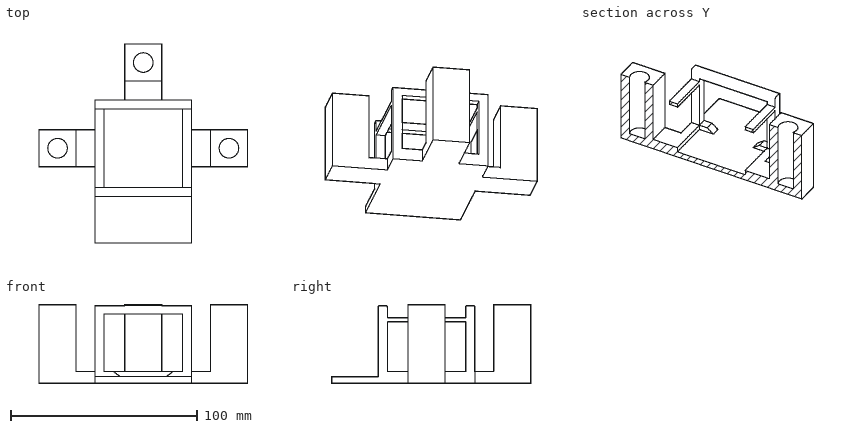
import cadquery as cq

overall_width = 112.0
overall_depth = 107.0
overall_height = 42.3

post_side = 20.0
post_gap = 10.0
hole_diameter = 10.5
hole_floor = 5.0
bar = 5.0
frame_side = overall_width - 2 * (post_side + post_gap)
frame_inner = frame_side - 2 * bar

floor_top = 3.7
rim_top = 6.5
rail_bottom = 33.0
rail_top = 35.4
window_top = 37.2
frame_top = 41.8
frame_round = 0.9

gap_bottom_width = 24.6
gap_top_width = 32.3

half_frame = frame_side / 2
apron_front = half_frame + post_gap + post_side - overall_depth
arm_length = post_gap + post_side
bar_offset = half_frame - bar / 2


def block(x_size, y_size, bottom, top, x=0, y=0):
    """Box centred at (x, y), spanning the given heights."""
    return (
        cq.Workplane("XY", origin=(x, y, bottom))
        .box(x_size, y_size, top - bottom, centered=(True, True, False))
    )


def make_floor():
    depth = half_frame - apron_front
    return block(frame_side, depth, 0, floor_top, y=apron_front + depth / 2)


def make_rim():
    outer = block(frame_side, frame_side, 0, rim_top)
    rim = outer.cut(block(frame_inner, frame_inner, floor_top, rim_top))
    front_gap = (
        cq.Workplane("XZ", origin=(0, -half_frame + bar, 0))
        .polyline([
            (-gap_bottom_width / 2, floor_top),
            (gap_bottom_width / 2, floor_top),
            (gap_top_width / 2, rim_top),
            (-gap_top_width / 2, rim_top),
        ])
        .close()
        .extrude(bar)
    )
    return rim.cut(front_gap)


def make_portal(y):
    """Upright rectangular frame with rounded long edges along its top."""
    portal = block(frame_side, bar, floor_top, frame_top, y=y)
    portal = portal.faces(">Z").edges("|X").fillet(frame_round)
    return portal.cut(block(frame_inner, bar, floor_top, window_top, y=y))


def make_post_arm():
    """Low arm ending in a tall post, on the +X side of the frame."""
    arm = block(arm_length, post_side, 0, rim_top, x=half_frame + arm_length / 2)
    post_x = half_frame + arm_length - post_side / 2
    post = block(post_side, post_side, 0, overall_height, x=post_x)
    hole = (
        cq.Workplane("XY", origin=(post_x, 0, hole_floor))
        .circle(hole_diameter / 2)
        .extrude(overall_height - hole_floor)
    )
    return arm.union(post).cut(hole)


result = make_floor().union(make_rim())

for side in (-1, 1):
    result = result.union(make_portal(side * bar_offset))
    result = result.union(
        block(bar, frame_side - bar, rail_bottom, rail_top, x=side * bar_offset)
    )

post_arm = make_post_arm()
for angle in (0, 90, 180):
    result = result.union(post_arm.rotate((0, 0, 0), (0, 0, 1), angle))